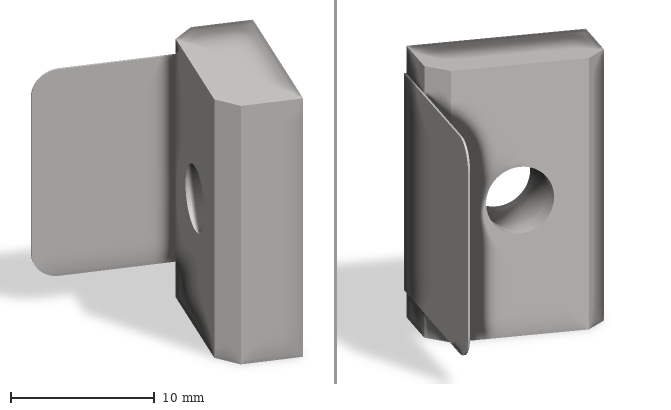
import cadquery as cq

block_width = 13.0
block_depth = 6.0
block_height = 20.0
bevel_size = 1.5
hole_diameter = 4.92

plate_thickness = 0.15
plate_length = 16.0
plate_height = 16.0
plate_corner_radius = 2.0


def make_block():
    """Bevelled block, back face on Y = 0 and centred on Z = 0."""
    outline = [
        (0, 0),
        (0, bevel_size - block_depth),
        (bevel_size, -block_depth),
        (block_width - bevel_size, -block_depth),
        (block_width, bevel_size - block_depth),
        (block_width, 0),
    ]
    return (
        cq.Workplane("XY")
        .workplane(offset=-block_height / 2)
        .polyline(outline)
        .close()
        .extrude(block_height)
    )


def make_hole():
    """Cylinder along Y that passes through the middle of the block."""
    return (
        cq.Workplane("XZ")
        .center(block_width / 2, 0)
        .circle(hole_diameter / 2)
        .extrude(block_depth)
    )


def make_plate():
    """Upright plate with its two free front corners rounded."""
    plate = cq.Workplane("XY").box(
        plate_thickness, plate_length, plate_height, centered=(False, False, True)
    )
    plate = plate.edges("|X and <Y").fillet(plate_corner_radius)
    return plate.translate((-plate_thickness, -plate_length, 0))


result = make_block().cut(make_hole()).union(make_plate())